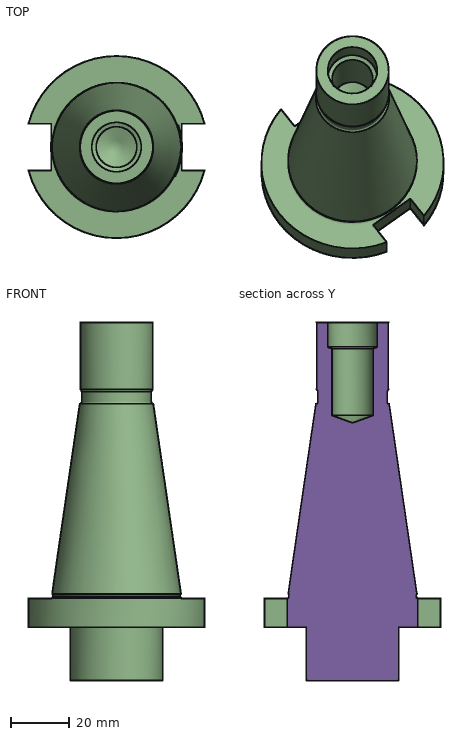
import cadquery as cq
import math

SPINDLE_LENGTH = 93.4
TAPER_LENGTH = 65.4
GAP_HEIGHT = 1.6
FLANGE_HEIGHT = 10.0
NOSE_LENGTH = 18.4

GAUGE_DIAMETER = 44.45
TAPER_RATIO = 7 / 24
NECK_DIAMETER = 44.0
NECK_FILLET = 0.6
CHAMFER_ANGLE = 30.0

PILOT_DIAMETER = 24.95
PILOT_LENGTH = 23.0
GROOVE_DIAMETER = 24.0
GROOVE_FILLET = 0.68

FLANGE_DIAMETER = 62.75
SLOT_WIDTH = 16.0
SLOT_FLOOR_DISTANCE = 22.5

NOSE_DIAMETER = 32.0
NOSE_CHAMFER = 0.3

COUNTERBORE_DIAMETER = 17.0
COUNTERBORE_DEPTH = 8.5
HOLE_DIAMETER = 14.0
HOLE_DEPTH = 32.0
DRILL_POINT_ANGLE = 140.0

FLANGE_TOP = -GAP_HEIGHT
FLANGE_BOTTOM = FLANGE_TOP - FLANGE_HEIGHT
NOSE_BOTTOM = FLANGE_BOTTOM - NOSE_LENGTH
PILOT_BOTTOM = SPINDLE_LENGTH - PILOT_LENGTH


def chamfer_height(radius_change):
    """Height along the axis of a chamfer that changes the radius by the given amount."""
    return radius_change / math.tan(math.radians(CHAMFER_ANGLE))


def drill_cone_height(radius_change):
    """Depth of a drilled cone over the given change of radius."""
    return radius_change / math.tan(math.radians(DRILL_POINT_ANGLE / 2))


def make_body():
    """Revolve the outer profile: nose, flange, taper, groove and pilot."""
    nose_radius = NOSE_DIAMETER / 2
    flange_radius = FLANGE_DIAMETER / 2
    neck_radius = NECK_DIAMETER / 2
    gauge_radius = GAUGE_DIAMETER / 2
    taper_top_radius = (GAUGE_DIAMETER - TAPER_LENGTH * TAPER_RATIO) / 2
    groove_radius = GROOVE_DIAMETER / 2
    pilot_radius = PILOT_DIAMETER / 2
    neck_top = -chamfer_height(gauge_radius - neck_radius)
    groove_top = PILOT_BOTTOM - chamfer_height(pilot_radius - groove_radius)
    profile = (
        cq.Workplane("XZ")
        .moveTo(0, NOSE_BOTTOM)
        .lineTo(nose_radius - NOSE_CHAMFER, NOSE_BOTTOM)
        .lineTo(nose_radius, NOSE_BOTTOM + NOSE_CHAMFER)
        .lineTo(nose_radius, FLANGE_BOTTOM)
        .lineTo(flange_radius, FLANGE_BOTTOM)
        .lineTo(flange_radius, FLANGE_TOP)
        .lineTo(neck_radius + NECK_FILLET, FLANGE_TOP)
        .radiusArc((neck_radius, FLANGE_TOP + NECK_FILLET), NECK_FILLET)
        .lineTo(neck_radius, neck_top)
        .lineTo(gauge_radius, 0)
        .lineTo(taper_top_radius, TAPER_LENGTH)
        .lineTo(groove_radius + GROOVE_FILLET, TAPER_LENGTH)
        .radiusArc((groove_radius, TAPER_LENGTH + GROOVE_FILLET), GROOVE_FILLET)
        .lineTo(groove_radius, groove_top)
        .lineTo(pilot_radius, PILOT_BOTTOM)
        .lineTo(pilot_radius, SPINDLE_LENGTH)
        .lineTo(0, SPINDLE_LENGTH)
        .close()
    )
    return profile.revolve(360, (0, 0, 0), (0, 1, 0))


def make_slot(side):
    """Cutter for the driving slot on the +X (side = 1) or -X (side = -1) edge."""
    cutter_length = FLANGE_DIAMETER / 2
    return (
        cq.Workplane("XY", origin=(0, 0, FLANGE_BOTTOM))
        .center(side * (SLOT_FLOOR_DISTANCE + cutter_length / 2), 0)
        .rect(cutter_length, SLOT_WIDTH)
        .extrude(FLANGE_HEIGHT)
    )


def make_drawbar_hole():
    """Cutter for the counterbored blind hole with its conical drill point."""
    counterbore_radius = COUNTERBORE_DIAMETER / 2
    hole_radius = HOLE_DIAMETER / 2
    counterbore_floor = SPINDLE_LENGTH - COUNTERBORE_DEPTH
    step_foot = counterbore_floor - drill_cone_height(counterbore_radius - hole_radius)
    wall_foot = SPINDLE_LENGTH - HOLE_DEPTH
    point_tip = wall_foot - drill_cone_height(hole_radius)
    profile = (
        cq.Workplane("XZ")
        .moveTo(0, SPINDLE_LENGTH)
        .lineTo(counterbore_radius, SPINDLE_LENGTH)
        .lineTo(counterbore_radius, counterbore_floor)
        .lineTo(hole_radius, step_foot)
        .lineTo(hole_radius, wall_foot)
        .lineTo(0, point_tip)
        .close()
    )
    return profile.revolve(360, (0, 0, 0), (0, 1, 0))


result = make_body().cut(make_drawbar_hole())
for slot_side in (1, -1):
    result = result.cut(make_slot(slot_side))